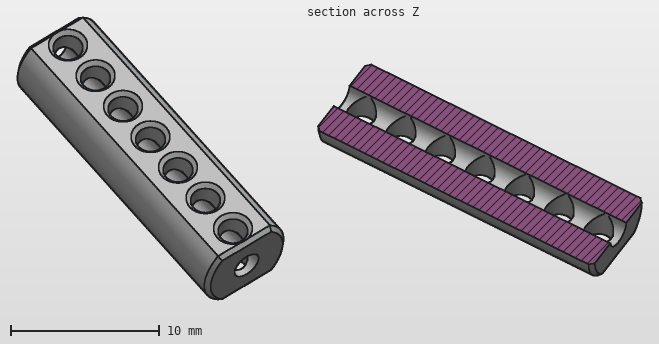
import cadquery as cq

length = 21.88
bar_diameter = 6.6
height_across_flats = 5.0
end_chamfer = 0.3

bore_diameter = 2.0
cross_hole_count = 7
cross_hole_pitch = length / cross_hole_count
countersink_diameter = 2.6
countersink_angle = 90.0


def flatted_bar():
    """Bar along X, centred on the origin, with flats at top and bottom and chamfered ends."""
    round_bar = cq.Workplane("YZ").circle(bar_diameter / 2).extrude(length / 2, both=True)
    flats_envelope = cq.Workplane("XY").box(length, bar_diameter, height_across_flats)
    return round_bar.intersect(flats_envelope).faces("<X or >X").chamfer(end_chamfer)


def drill_lengthwise_bore(body):
    """Bore running through the bar along its axis."""
    bore = cq.Workplane("YZ").circle(bore_diameter / 2).extrude(length / 2, both=True)
    return body.cut(bore)


def drill_cross_holes(body):
    """Evenly spaced through holes, countersunk in the top flat."""
    return (
        body.faces(">Z")
        .workplane(origin=(0, 0, height_across_flats / 2))
        .rarray(cross_hole_pitch, 0.22, cross_hole_count, 1)
        .cskHole(bore_diameter, countersink_diameter, countersink_angle)
    )


result = drill_cross_holes(drill_lengthwise_bore(flatted_bar()))